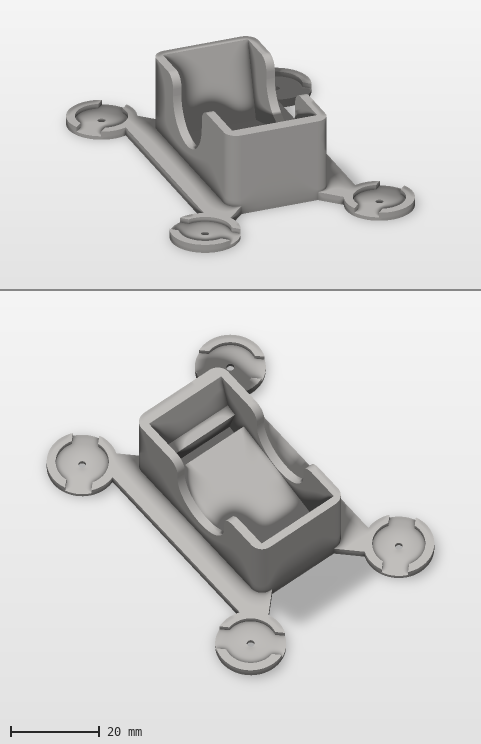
import cadquery as cq
import math

overall_length = 77.4
overall_width = 58.45

plate_thickness = 2.0
plate_half_width = 18.4
foot_diameter = 16.0
foot_x = (overall_length - foot_diameter) / 2
foot_y = (overall_width - foot_diameter) / 2
plate_end_x = 22.8
arm_edge_y = 8.8
recess_diameter = 12.0
recess_depth = 1.2
foot_slot_width = 6.0
foot_hole_diameter = 1.8

box_length = 46.0
box_x = box_length / 2 - plate_end_x
box_width = 24.8
box_height = 19.8
cavity_width = 20.7
corner_radius = 3.0

tilt = 15.0
floor_start_x = -16.0
floor_start_z = 1.8
floor_end_x = 17.8
groove_start_x = 11.9
groove_end_x = 15.2
groove_drop = 7.2

cutout_x = -1.3
cutout_radius = 8.5
cutout_bottom_z = 6.35
rim_radius = 3.0

slope = math.tan(math.radians(tilt))


def floor_z(x):
    """Height of the tilted cavity floor at x."""
    return floor_start_z + slope * (x - floor_start_x)


def prism_along_y(outline, width):
    """Extrude a closed XZ outline, centred on the XZ plane."""
    return outline.extrude(width / 2, both=True)


def make_plate():
    arm_tip_x = plate_end_x + plate_half_width - arm_edge_y
    quarter = [
        (0, 0),
        (plate_end_x, 0),
        (plate_end_x, arm_edge_y),
        (arm_tip_x, plate_half_width),
        (0, plate_half_width),
    ]
    corner = cq.Workplane("XY").polyline(quarter).close().extrude(plate_thickness)
    half = corner.union(corner.mirror("YZ"))
    return half.union(half.mirror("XZ"))


def make_box():
    block = cq.Workplane("XY").box(box_length, box_width, box_height, centered=(True, True, False))
    return block.edges("|Z").fillet(corner_radius).translate((box_x, 0, 0))


def make_cavity():
    top_left_x = floor_start_x - slope * (box_height - floor_start_z)
    top_right_x = floor_end_x + slope * (box_height - floor_z(floor_end_x))
    outline = [
        (floor_start_x, floor_start_z),
        (floor_end_x, floor_z(floor_end_x)),
        (top_right_x, box_height),
        (top_left_x, box_height),
    ]
    return prism_along_y(cq.Workplane("XZ").polyline(outline).close(), cavity_width)


def make_groove():
    """Slot sunk square to the tilted floor, with a bottom parallel to it."""
    start_z = floor_z(groove_start_x)
    end_z = floor_z(groove_end_x)
    lean = slope * groove_drop
    outline = [
        (groove_start_x, start_z),
        (groove_end_x, end_z),
        (groove_end_x + lean, end_z - groove_drop),
        (groove_start_x + lean, start_z - groove_drop),
    ]
    return prism_along_y(cq.Workplane("XZ").polyline(outline).close(), cavity_width)


def make_cutout():
    """U-shaped opening whose mouth flares out in rounded rims."""
    left = cutout_x - cutout_radius
    right = cutout_x + cutout_radius
    centre_z = cutout_bottom_z + cutout_radius
    rim_z = box_height - rim_radius
    outline = (
        cq.Workplane("XZ")
        .moveTo(left, centre_z)
        .threePointArc((cutout_x, cutout_bottom_z), (right, centre_z))
        .lineTo(right, rim_z)
        .tangentArcPoint((right + rim_radius, box_height), relative=False)
        .lineTo(left - rim_radius, box_height)
        .radiusArc((left, rim_z), rim_radius)
        .close()
    )
    return prism_along_y(outline, box_width)


def make_foot_recess(x_side, y_side):
    """Round recess crossed by a slot square to the arm, plus the centre hole."""
    slot_angle = -45 * x_side * y_side
    recess = cq.Workplane("XY").circle(recess_diameter / 2).extrude(recess_depth)
    slot = (
        cq.Workplane("XY")
        .rect(foot_diameter, foot_slot_width)
        .extrude(recess_depth)
        .rotate((0, 0, 0), (0, 0, 1), slot_angle)
    )
    foot_outline = cq.Workplane("XY").circle(foot_diameter / 2).extrude(recess_depth)
    floor_height = plate_thickness - recess_depth
    sunk = recess.union(slot).intersect(foot_outline).translate((0, 0, floor_height))
    hole = cq.Workplane("XY").circle(foot_hole_diameter / 2).extrude(plate_thickness)
    return sunk.union(hole).translate((x_side * foot_x, y_side * foot_y, 0))


foot_sides = [(x_side, y_side) for x_side in (-1, 1) for y_side in (-1, 1)]
foot_centres = [(x_side * foot_x, y_side * foot_y) for x_side, y_side in foot_sides]
feet = cq.Workplane("XY").pushPoints(foot_centres).circle(foot_diameter / 2).extrude(plate_thickness)

result = make_plate().union(feet).union(make_box())
result = result.cut(make_cavity()).cut(make_groove()).cut(make_cutout())
for x_side, y_side in foot_sides:
    result = result.cut(make_foot_recess(x_side, y_side))